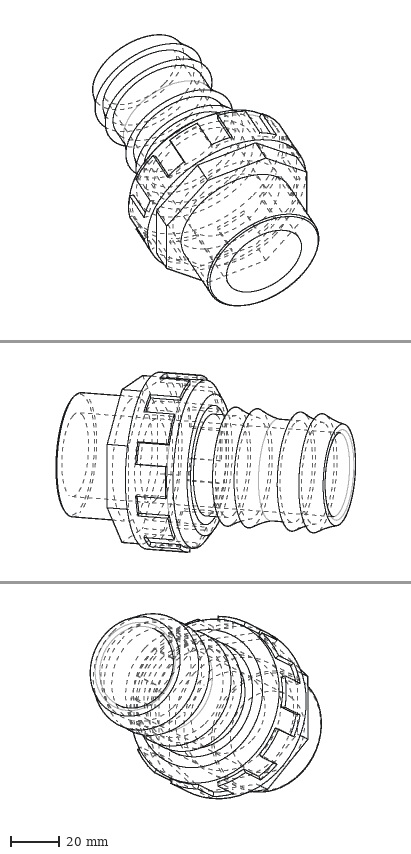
import cadquery as cq
import math

total_length = 116.0
bore_radius = 17.5

barbed_length = 47.3
barb_starts = (0, 1, 3, 4)
barb_pitch = barbed_length / (barb_starts[-1] + 1)
tail_diameter = 42.6
tail_radius = tail_diameter / 2
barb_radius = 24.9
barb_hollow = 0.5
mouth_fillet = 1.4
collar_radius = barb_radius

nut_start = 57.0
nut_end = 81.5
nut_face_radius = 29.6
nut_body_radius = 35.1
nut_rim_radius = 37.0
bevel_length = 4.3
rim_start = 64.0
notch_end = 77.3
notch_count = 10
notch_pitch = 360 / notch_count
notch_angle = 14.8

flange_thickness = 9.4
flange_across_flats = 65.4
flange_sides = 8
spigot_radius = 26.0
spigot_chamfer = 0.7


def cylinder(radius, start, end):
    """Solid cylinder along X from start to end."""
    return cq.Workplane("YZ").workplane(offset=start).circle(radius).extrude(end - start)


def through_bore(body):
    """Cut the common flow passage through a body."""
    return body.cut(cylinder(bore_radius, 0, total_length))


def make_barb(start):
    """One barb: a slightly hollow flank that widens to a sharp, square shoulder."""
    end = start + barb_pitch
    middle = (start + barb_pitch / 2, (tail_radius + barb_radius) / 2 - barb_hollow)
    return (
        cq.Workplane("XY")
        .moveTo(start, 0)
        .lineTo(start, tail_radius)
        .threePointArc(middle, (end, barb_radius))
        .lineTo(end, 0)
        .close()
        .revolve(360, (0, 0, 0), (1, 0, 0))
    )


def make_hose_tail():
    """Barbed tube whose plain collar sits inside the nut."""
    tail = cylinder(tail_radius, 0, nut_start)
    for position in barb_starts:
        tail = tail.union(make_barb(position * barb_pitch))
    tail = tail.union(cylinder(collar_radius, nut_start, nut_end))
    tail = through_bore(tail)
    mouth_edge = cq.selectors.RadiusNthSelector(0)
    return tail.faces("<X").edges(mouth_edge).fillet(mouth_fillet)


def make_notch(center_angle):
    """Wedge with radial sides that opens one grip notch at the front of the nut rim."""
    half_angle = math.radians(notch_angle / 2)
    reach = 2 * nut_rim_radius
    wedge = (
        cq.Workplane("YZ")
        .workplane(offset=rim_start)
        .polyline([
            (0, 0),
            (-reach * math.sin(half_angle), reach * math.cos(half_angle)),
            (reach * math.sin(half_angle), reach * math.cos(half_angle)),
        ])
        .close()
        .extrude(notch_end - rim_start)
    )
    wedge = wedge.cut(cylinder(nut_body_radius, rim_start, notch_end))
    return wedge.rotate((0, 0, 0), (1, 0, 0), center_angle)


def make_nut():
    """Bevelled ring with a raised rim that is notched for grip."""
    nut = (
        cq.Workplane("XY")
        .polyline([
            (nut_start, collar_radius),
            (nut_start, nut_face_radius),
            (nut_start + bevel_length, nut_body_radius),
            (rim_start, nut_body_radius),
            (rim_start, nut_rim_radius),
            (nut_end, nut_rim_radius),
            (nut_end, collar_radius),
        ])
        .close()
        .revolve(360, (0, 0, 0), (1, 0, 0))
    )
    for index in range(notch_count):
        nut = nut.cut(make_notch(index * notch_pitch))
    return nut


def make_end_connector():
    """Octagonal wrench flange with a round spigot behind it."""
    half_side_angle = 180 / flange_sides
    corner_diameter = flange_across_flats / math.cos(math.radians(half_side_angle))
    flange = (
        cq.Workplane("YZ")
        .workplane(offset=nut_end)
        .polygon(flange_sides, corner_diameter)
        .extrude(flange_thickness)
        .rotate((0, 0, 0), (1, 0, 0), half_side_angle)
    )
    spigot = cylinder(spigot_radius, nut_end, total_length).faces(">X").edges().chamfer(spigot_chamfer)
    return through_bore(flange.union(spigot))


hose_tail = make_hose_tail()
nut = make_nut()
end_connector = make_end_connector()

result = cq.Compound.makeCompound([hose_tail.val(), nut.val(), end_connector.val()])